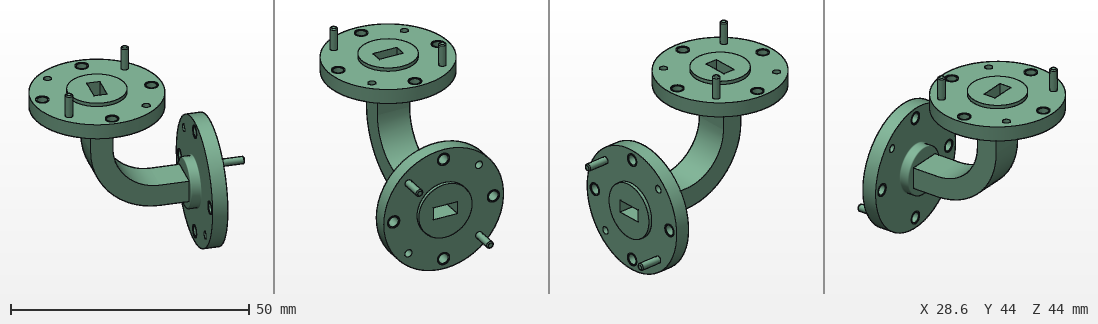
import cadquery as cq
import math


FACE_DISTANCE = 25.4
BEND_RADIUS = FACE_DISTANCE / 2
BORE_WIDTH = 5.69
BORE_HEIGHT = 2.845
DUCT_WALL = 1.016
DUCT_WIDTH = BORE_WIDTH + 2 * DUCT_WALL
DUCT_HEIGHT = BORE_HEIGHT + 2 * DUCT_WALL

FLANGE_DIAMETER = 28.6
FLANGE_THICKNESS = 3.35
FACE_DIAMETER = 12.7
FACE_RISE = 0.8
HUB_DIAMETER = 11.1
HUB_LENGTH = 2.2
HUB_ROUND = 0.25
FLANGE_FRONT = FACE_DISTANCE - FACE_RISE
FLANGE_BACK = FLANGE_FRONT - FLANGE_THICKNESS
HUB_END = FLANGE_BACK - HUB_LENGTH

HOLE_CIRCLE_RADIUS = 11.9
SCREW_HOLE_DIAMETER = 2.3
COUNTERBORE_DIAMETER = 2.85
COUNTERBORE_DEPTH = 0.13
PIN_DIAMETER = 1.6
PIN_HOLE_DIAMETER = 1.7
OVERALL_LENGTH = 44.02
PIN_TIP = OVERALL_LENGTH - FLANGE_DIAMETER / 2
PIN_CHAMFER = 0.25
SCREW_HOLE_ANGLES = (0, 90, 180, 270)
PIN_HOLE_ANGLES = (45, 225)
PIN_ANGLES = (135, 315)


def on_hole_circle(angles):
    """Points of the hole circle at the given angles in degrees."""
    return [
        (
            HOLE_CIRCLE_RADIUS * math.cos(math.radians(angle)),
            HOLE_CIRCLE_RADIUS * math.sin(math.radians(angle)),
        )
        for angle in angles
    ]


def cylinder(diameter, bottom, top):
    """Upright cylinder on the Z axis between two heights."""
    return cq.Workplane("XY").workplane(offset=bottom).circle(diameter / 2).extrude(top - bottom)


def at_points(body, points):
    """Copies of a body moved to each point of the XY plane."""
    copies = cq.Workplane("XY")
    for x, y in points:
        copies = copies.add(body.translate((x, y, 0)))
    return copies.combine()


def flange_body():
    """Disc, raised face and filleted hub, turned about Z."""
    hub_radius = HUB_DIAMETER / 2
    mid_arc = HUB_ROUND * (1 - math.sqrt(0.5))
    profile = (
        cq.Workplane("XZ")
        .moveTo(0, HUB_END)
        .lineTo(hub_radius - HUB_ROUND, HUB_END)
        .threePointArc(
            (hub_radius - mid_arc, HUB_END + mid_arc),
            (hub_radius, HUB_END + HUB_ROUND),
        )
        .lineTo(hub_radius, FLANGE_BACK - HUB_ROUND)
        .threePointArc(
            (hub_radius + mid_arc, FLANGE_BACK - mid_arc),
            (hub_radius + HUB_ROUND, FLANGE_BACK),
        )
        .lineTo(FLANGE_DIAMETER / 2, FLANGE_BACK)
        .lineTo(FLANGE_DIAMETER / 2, FLANGE_FRONT)
        .lineTo(FACE_DIAMETER / 2, FLANGE_FRONT)
        .lineTo(FACE_DIAMETER / 2, FACE_DISTANCE)
        .lineTo(0, FACE_DISTANCE)
        .close()
    )
    return profile.revolve(360, (0, 0, 0), (0, 1, 0))


def screw_hole_cutter():
    """Through hole with a shallow counterbore at both flange surfaces."""
    hole = cylinder(SCREW_HOLE_DIAMETER, FLANGE_BACK, FLANGE_FRONT)
    front_step = cylinder(COUNTERBORE_DIAMETER, FLANGE_FRONT - COUNTERBORE_DEPTH, FLANGE_FRONT)
    back_step = cylinder(COUNTERBORE_DIAMETER, FLANGE_BACK, FLANGE_BACK + COUNTERBORE_DEPTH)
    return hole.union(front_step).union(back_step)


def flange():
    """Complete flange around the +Z arm, with its holes and pins."""
    pin_hole = cylinder(PIN_HOLE_DIAMETER, FLANGE_BACK, FLANGE_FRONT)
    pin = cylinder(PIN_DIAMETER, FLANGE_BACK, PIN_TIP).faces(">Z").chamfer(PIN_CHAMFER)
    return (
        flange_body()
        .cut(at_points(screw_hole_cutter(), on_hole_circle(SCREW_HOLE_ANGLES)))
        .cut(at_points(pin_hole, on_hole_circle(PIN_HOLE_ANGLES)))
        .union(at_points(pin, on_hole_circle(PIN_ANGLES)))
    )


def to_y_arm(body):
    """Turn a body from the +Z arm onto the +Y arm."""
    return body.rotate((0, 0, 0), (1, 0, 0), -90)


def duct(width, height):
    """Rectangular bar from one mating face through the bend to the other."""
    arm = (
        cq.Workplane("XY")
        .workplane(offset=BEND_RADIUS)
        .rect(width, height)
        .extrude(FACE_DISTANCE - BEND_RADIUS)
    )
    bend = (
        cq.Workplane("XY")
        .workplane(offset=BEND_RADIUS)
        .rect(width, height)
        .revolve(90, (0, BEND_RADIUS, 0), (1, BEND_RADIUS, 0))
    )
    return arm.union(bend).union(to_y_arm(arm))


top_flange = flange()
result = (
    duct(DUCT_WIDTH, DUCT_HEIGHT)
    .union(top_flange)
    .union(to_y_arm(top_flange))
    .cut(duct(BORE_WIDTH, BORE_HEIGHT))
)